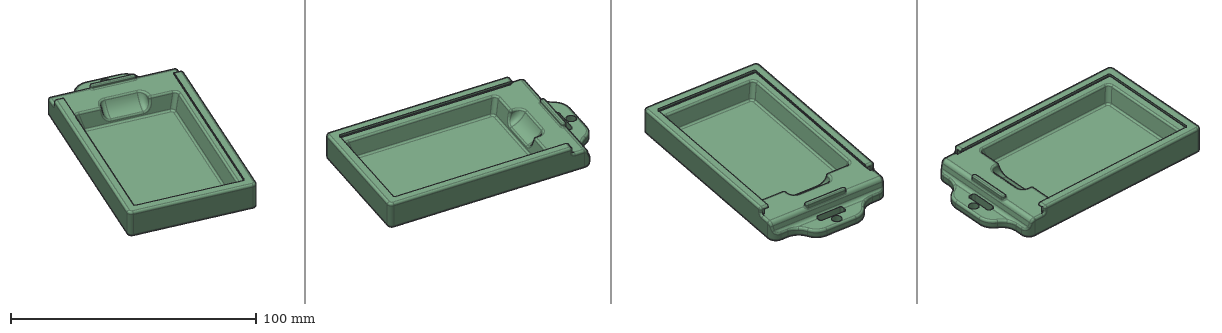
import cadquery as cq
import math

length = 102.0
width = 56.4
height = 12.3
edge_radius = 1.1

body_start_x = 8.2
body_corner_radius = 4.0
rear_corner_radius = 2.0
tab_tip_half = 7.2
tab_root_half = 20.9

tab_top_z = 4.1
ledge_z = 9.1
lip_thickness = 1.0
pocket_floor_z = 1.4

step_foot_x = 9.2
step_crest_x = 10.6
step_foot_radius = 1.8
step_crest_radius = 2.2
rail_front_x = 17.4
rail_foot_radius = 1.0

opening_half = 24.2
opening_end_x = 97.8
opening_corner_radius = 0.8
undercut = 1.9

pocket_start_x = 26.0
pocket_end_x = 96.1
pocket_half = 22.5
pocket_corner_radius = 1.9
pocket_draft = 16.5
recess_edge_radius = 1.0

scoop_x = 29.9
scoop_z = 13.3
scoop_radius = 10.2
scoop_half = 10.1
scoop_end_radius = 3.1

hole_x = 3.5
hole_radius = 2.1
strap_start_x = 5.9
strap_end_x = 9.0
strap_half = 6.4
strap_corner_radius = 1.0

latch_start_x = 10.7
latch_end_x = 12.8
latch_half = 9.9
latch_top_z = 10.7
latch_root_z = 6.6
latch_corner_radius = 0.9
latch_edge_radius = 0.5
latch_base_radius = 0.5

clearance = 1.0
tolerance = 0.01
rim_margin = 0.5


def block(x_start, x_end, half, z_bottom, z_top):
    """Box centred on Y = 0."""
    size = (x_end - x_start, 2 * half, z_top - z_bottom)
    return cq.Workplane("XY").box(*size, centered=(False, True, False)).translate((x_start, 0, z_bottom))


def plan_blank():
    """Full-height blank; each tab side is an S of two equal tangent arcs."""
    half = width / 2
    shoulder = half - body_corner_radius
    bend_x = body_start_x / 2
    bend_y = (tab_tip_half + tab_root_half) / 2
    outline = (
        cq.Workplane("XY")
        .moveTo(0, -tab_tip_half)
        .lineTo(0, tab_tip_half)
        .tangentArcPoint((bend_x, bend_y), relative=False)
        .tangentArcPoint((body_start_x, tab_root_half), relative=False)
        .lineTo(body_start_x, shoulder)
        .tangentArcPoint((body_start_x + body_corner_radius, half), relative=False)
        .lineTo(length, half)
        .lineTo(length, -half)
        .lineTo(body_start_x + body_corner_radius, -half)
        .tangentArcPoint((body_start_x, -shoulder), relative=False)
        .lineTo(body_start_x, -tab_root_half)
        .tangentArcPoint((bend_x, -bend_y), relative=False)
        .tangentArcPoint((0, -tab_tip_half), relative=False)
        .close()
    )
    return outline.extrude(height).edges("|Z and >X").fillet(rear_corner_radius)


def step_cutter():
    """Everything above the tab, the sloped step and the ledge in front of the rails."""
    top = height + clearance
    points = [
        (-clearance, tab_top_z),
        (step_foot_x, tab_top_z),
        (step_crest_x, ledge_z),
        (rail_front_x, ledge_z),
        (rail_front_x, top),
        (-clearance, top),
    ]
    cutter = cq.Workplane("XZ").polyline(points).close().extrude(width / 2 + clearance, both=True)
    bends = [
        (step_foot_x, tab_top_z, step_foot_radius),
        (step_crest_x, ledge_z, step_crest_radius),
        (rail_front_x, ledge_z, rail_foot_radius),
    ]
    for x, z, radius in bends:
        corner = cq.selectors.NearestToPointSelector((x, 0, z))
        cutter = cutter.edges(corner).fillet(radius)
    return cutter


def rounded_body():
    """Blank with the step cut away and its outer edges rounded."""
    body = plan_blank().cut(step_cutter())
    body = body.faces("<Z").edges().fillet(edge_radius)
    rim = []
    for edge in body.edges().vals():
        box = edge.BoundingBox()
        across = box.ylen > width / 2 and box.xlen < tolerance and box.xmax < rail_front_x + tolerance
        inner_line = across and box.zmax < height - tolerance
        on_rail_front = abs(box.xmax - rail_front_x) < tolerance
        upright = box.xlen < tolerance and box.ylen < tolerance and not on_rail_front
        in_lower_part = box.zmin < edge_radius + tolerance
        if not (inner_line or upright or in_lower_part):
            rim.append(edge)
    return body.newObject(rim).fillet(edge_radius)


def card_slot():
    """Opening between the lips, the groove under them and the relief at the rail fronts."""
    start = rail_front_x - rail_foot_radius
    opening = block(start, opening_end_x, opening_half, ledge_z, height + clearance)
    opening = opening.edges("|Z and >X").fillet(opening_corner_radius)
    lip_z = height - lip_thickness
    groove = block(start, opening_end_x + undercut, opening_half + undercut, ledge_z, lip_z)
    relief = block(start, rail_front_x, width / 2 - edge_radius, ledge_z, lip_z)
    return opening.union(groove).union(relief)


def pocket():
    """Drafted pocket with rounded corners and floor edge."""
    depth = ledge_z - pocket_floor_z
    span = pocket_end_x - pocket_start_x
    shape = (
        cq.Workplane("XY", origin=((pocket_start_x + pocket_end_x) / 2, 0, ledge_z))
        .rect(span, 2 * pocket_half)
        .extrude(-depth, taper=pocket_draft)
    )
    shape = shape.edges("not(#Z)").fillet(pocket_corner_radius)
    return shape.faces("<Z").edges().fillet(recess_edge_radius)


def scoop():
    """Cylinder along Y with rounded ends."""
    shape = (
        cq.Workplane("XZ")
        .center(scoop_x, scoop_z)
        .circle(scoop_radius)
        .extrude(scoop_half, both=True)
    )
    return shape.edges("<Y or >Y").fillet(scoop_end_radius)


def recess_rim_edges(body):
    """Edges of the recess at ledge height."""
    rim = []
    for edge in body.edges().vals():
        box = edge.BoundingBox()
        level = abs(box.zmin - ledge_z) < tolerance and abs(box.zmax - ledge_z) < tolerance
        half_limit = opening_half - rim_margin
        inside = box.ymax < half_limit and box.ymin > -half_limit
        behind_rail_front = box.xmin > rail_front_x + clearance
        if level and inside and behind_rail_front and box.xmax < opening_end_x - rim_margin:
            rim.append(edge)
    return rim


def scoop_mouth_edges(body):
    """Edges where the scoop breaks through the pocket wall."""
    wall_run = (ledge_z - pocket_floor_z) * math.tan(math.radians(pocket_draft))
    mouth = []
    for edge in body.edges().vals():
        box = edge.BoundingBox()
        on_wall = box.xmin > pocket_start_x - tolerance and box.xmax < pocket_start_x + wall_run
        above_floor = pocket_floor_z + recess_edge_radius < box.zmin < ledge_z - tolerance
        if on_wall and above_floor and abs(box.center.y) < scoop_half:
            mouth.append(edge)
    return mouth


def pocketed(body):
    """Cut the card slot, pocket and scoop, then round the recess rim and the scoop's mouth."""
    body = body.cut(card_slot()).cut(pocket().union(scoop()))
    rim = scoop_mouth_edges(body) + recess_rim_edges(body)
    return body.newObject(rim).fillet(recess_edge_radius)


def strap_holes():
    """Round hole and long slot through the tab."""
    hole = cq.Workplane("XY").center(hole_x, 0).circle(hole_radius).extrude(height)
    slot = block(strap_start_x, strap_end_x, strap_half, 0, height)
    return hole.union(slot.edges("|Z").fillet(strap_corner_radius))


def latch():
    """Latch bar with rounded corners and top edge."""
    bar = block(latch_start_x, latch_end_x, latch_half, latch_root_z, latch_top_z)
    bar = bar.edges("|Z").fillet(latch_corner_radius)
    return bar.faces(">Z").edges().fillet(latch_edge_radius)


def with_latch(body):
    """Join the latch bar and blend its foot into the step."""
    body = body.union(latch())
    foot = []
    for edge in body.edges().vals():
        box = edge.BoundingBox()
        under_bar = box.xmin > latch_start_x - tolerance and box.xmax < latch_end_x + tolerance
        in_length = abs(box.center.y) < latch_half + tolerance and box.ymax < latch_half + tolerance
        if under_bar and in_length and box.zmax < ledge_z + tolerance:
            foot.append(edge)
    return body.newObject(foot).fillet(latch_base_radius)


result = with_latch(pocketed(rounded_body()).cut(strap_holes()))